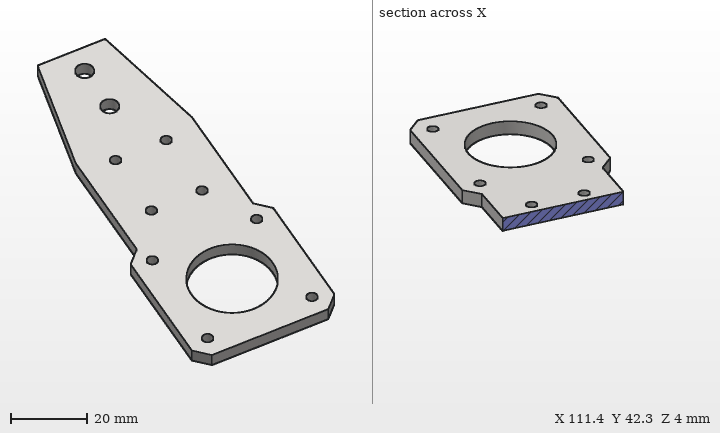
import cadquery as cq

length = 111.4
head_width = 42.3
thickness = 4.0

nose_width = 20.0
neck_width = 34.5
taper_length = 35.1
head_length = 42.1
corner_chamfer = (head_width - neck_width) / 2
head_start = length - head_length

bore_diameter = 24.0
bore_x = 90.1
motor_hole_diameter = 3.0
motor_hole_spacing = 31.0
neck_hole_diameter = 3.0
neck_hole_x = 49.0
neck_hole_spacing_x = 20.0
neck_hole_spacing_y = 15.0
nose_hole_diameter = 5.0
nose_hole_x = 14.5
nose_hole_spacing = 14.0


def plate():
    """Flat plate, symmetric about the X axis, with its nose end at X = 0."""
    upper_edge = [
        (0, nose_width / 2),
        (taper_length, neck_width / 2),
        (head_start, neck_width / 2),
        (head_start + corner_chamfer, head_width / 2),
        (length - corner_chamfer, head_width / 2),
        (length, head_width / 2 - corner_chamfer),
    ]
    lower_edge = [(x, -y) for x, y in reversed(upper_edge)]
    return cq.Workplane("XY").polyline(upper_edge + lower_edge).close().extrude(thickness)


def hole_grid(center_x, pitch_x, pitch_y, count_x, count_y, diameter):
    """Through-hole cutters on a rectangular grid centred on the X axis."""
    return (
        cq.Workplane("XY")
        .center(center_x, 0)
        .rarray(pitch_x, pitch_y, count_x, count_y)
        .circle(diameter / 2)
        .extrude(thickness)
    )


bore = cq.Workplane("XY").center(bore_x, 0).circle(bore_diameter / 2).extrude(thickness)
motor_holes = hole_grid(bore_x, motor_hole_spacing, motor_hole_spacing, 2, 2, motor_hole_diameter)
neck_holes = hole_grid(neck_hole_x, neck_hole_spacing_x, neck_hole_spacing_y, 2, 2, neck_hole_diameter)
nose_holes = hole_grid(nose_hole_x, nose_hole_spacing, 1.1, 2, 1, nose_hole_diameter)

result = plate().cut(bore).cut(motor_holes).cut(neck_holes).cut(nose_holes)